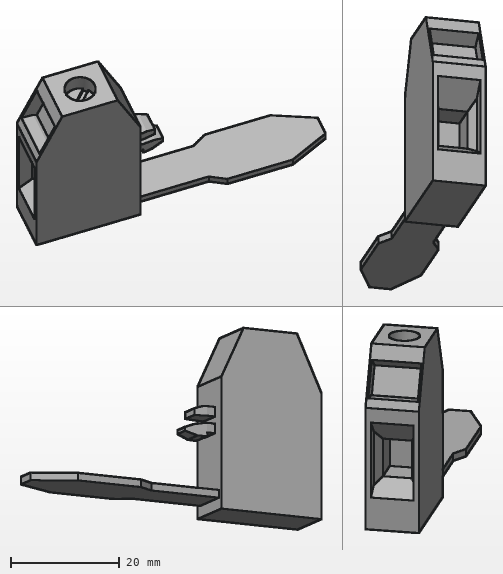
import cadquery as cq

overall_length = 58.5

body_width = 10.1
body_depth = 20.65
body_height = 34.7
top_front = 5.1
top_back = 16.1
front_shoulder = 23.8
back_shoulder = 25.05

entry_half_width = 4.05
entry_bottom = 6.3
entry_top = 21.0
throat_half_width = 2.75
throat_bottom = 9.0
throat_top = 16.4
side_flare_start = 2.65
flare_depth = 4.6
throat_end = 10.55

window_width = 9.35
window_bottom = 25.45
window_top = 31.95
ledge_depth = 2.35
ledge_drop = 0.2
sill_drop = 0.45
window_depth = 3.3
window_roof_drop = 1.9

screw_y = (top_front + top_back) / 2
screw_diameter = 5.75
screw_recess = 3.2
slot_width = 1.05
slot_depth = 0.6
slot_angle = -43

blade_bottom = 2.3
blade_thickness = 1.45
blade_half_width = 11.5 / 2
blade_stem_half_width = 4.0
blade_tip_half_width = 2.05
blade_tip_length = 7.95
blade_wide_length = 13.0
blade_neck_length = 3.0

prong_half_width = 2.4
prong_tip_half_width = 1.65
prong_neck_length = 1.6
prong_neck_height = 1.8
upper_prong_bottom = 17.95
upper_prong_length = 4.05
upper_slope_start = 2.35
upper_tip_height = 1.3
lower_prong_bottom = 14.8
lower_prong_length = 5.8
lower_head_bottom = 14.1
lower_belly_end = 3.45
lower_brow_end = 4.1
lower_brow_height = 16.25
lower_tip_bottom = 14.85
lower_tip_top = 15.6


def side_prism(points, width):
    """Extrude a (Y, Z) outline equally to both sides of the centre plane."""
    return cq.Workplane("YZ").polyline(points).close().extrude(width / 2, both=True)


def mirrored_plan(half_outline, bottom, height):
    """Extrude upwards a plan outline given by its +X half."""
    other_half = [(-x, y) for x, y in reversed(half_outline)]
    outline = cq.Workplane("XY").workplane(offset=bottom).polyline(half_outline + other_half)
    return outline.close().extrude(height)


def front_slope_y(z):
    """Y of the sloping front face at height z."""
    return top_front * (z - front_shoulder) / (body_height - front_shoulder)


def make_housing():
    return side_prism(
        [
            (0, 0),
            (body_depth, 0),
            (body_depth, back_shoulder),
            (top_back, body_height),
            (top_front, body_height),
            (0, front_shoulder),
        ],
        body_width,
    )


def make_wire_entry():
    profile = side_prism(
        [
            (0, entry_bottom),
            (flare_depth, throat_bottom),
            (throat_end, throat_bottom),
            (throat_end, throat_top),
            (flare_depth, throat_top),
            (0, entry_top),
        ],
        body_width,
    )
    plan = mirrored_plan(
        [
            (entry_half_width, 0),
            (entry_half_width, side_flare_start),
            (throat_half_width, flare_depth),
            (throat_half_width, throat_end),
        ],
        0,
        body_height,
    )
    return profile.intersect(plan)


def make_window():
    """Pocket with its back wall parallel to the sloping face and a sill that tips down behind a ledge."""
    bottom_y = front_slope_y(window_bottom)
    top_y = front_slope_y(window_top)
    roof_back = window_top - window_roof_drop
    sill_back = window_bottom - sill_drop
    return side_prism(
        [
            (bottom_y, window_bottom),
            (bottom_y + ledge_depth, window_bottom - ledge_drop),
            (front_slope_y(sill_back) + window_depth, sill_back),
            (front_slope_y(roof_back) + window_depth, roof_back),
            (top_y, window_top),
        ],
        window_width,
    )


def make_screw_recess():
    floor = body_height - screw_recess
    recess = (
        cq.Workplane("XY")
        .workplane(offset=floor)
        .center(0, screw_y)
        .circle(screw_diameter / 2)
        .extrude(screw_recess)
    )
    slot_end = cq.Workplane("XY").circle(screw_diameter / 2).extrude(slot_depth)
    slot = (
        cq.Workplane("XY")
        .rect(screw_diameter, slot_width)
        .extrude(slot_depth)
        .rotate((0, 0, 0), (0, 0, 1), slot_angle)
        .intersect(slot_end)
        .translate((0, screw_y, floor - slot_depth))
    )
    return recess.union(slot)


def make_blade():
    tip_start = overall_length - blade_tip_length
    neck_end = tip_start - blade_wide_length
    neck_start = neck_end - blade_neck_length
    return mirrored_plan(
        [
            (blade_stem_half_width, body_depth),
            (blade_stem_half_width, neck_start),
            (blade_half_width, neck_end),
            (blade_half_width, tip_start),
            (blade_tip_half_width, overall_length),
        ],
        blade_bottom,
        blade_thickness,
    )


def make_prongs():
    neck_end = body_depth + prong_neck_length
    upper_end = body_depth + upper_prong_length
    lower_end = body_depth + lower_prong_length
    upper_top = upper_prong_bottom + prong_neck_height
    lower_top = lower_prong_bottom + prong_neck_height
    upper = side_prism(
        [
            (body_depth, upper_prong_bottom),
            (upper_end, upper_prong_bottom),
            (upper_end, upper_prong_bottom + upper_tip_height),
            (body_depth + upper_slope_start, upper_top),
            (body_depth, upper_top),
        ],
        body_width,
    )
    lower = side_prism(
        [
            (body_depth, lower_prong_bottom),
            (neck_end, lower_prong_bottom),
            (neck_end, lower_head_bottom),
            (body_depth + lower_belly_end, lower_head_bottom),
            (lower_end, lower_tip_bottom),
            (lower_end, lower_tip_top),
            (body_depth + lower_brow_end, lower_brow_height),
            (neck_end, lower_top),
            (body_depth, lower_top),
        ],
        body_width,
    )
    plan = mirrored_plan(
        [
            (prong_half_width, body_depth),
            (prong_half_width, neck_end),
            (prong_tip_half_width, lower_end),
        ],
        0,
        body_height,
    )
    return [upper.intersect(plan), lower.intersect(plan)]


result = make_housing()
for cavity in (make_wire_entry(), make_window(), make_screw_recess()):
    result = result.cut(cavity)
for projection in [make_blade()] + make_prongs():
    result = result.union(projection)